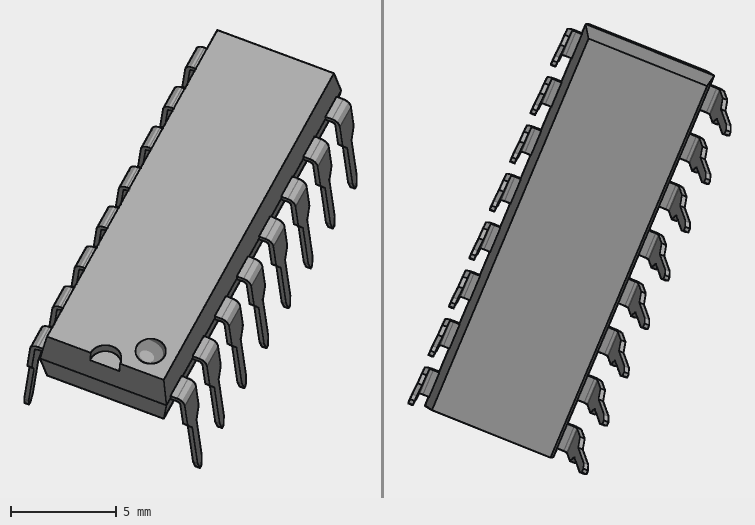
import cadquery as cq
import math

body_length = 20.05
body_width = 6.6
body_top = 1.6
wall_inset = 0.26

notch_radius = 0.76
notch_depth = 0.5
notch_y = -body_length / 2 + wall_inset
dimple_radius = 0.72
dimple_depth = 0.5
dimple_x = 1.78
dimple_y = -8.5

overall_height = 7.35
overall_width = 9.14
leads_per_side = 8
lead_row_length = 17.78
lead_pitch = lead_row_length / (leads_per_side - 1)
lead_thickness = 0.25
lead_root_x = body_width / 2 - 2 * wall_inset
bend_x = 3.6
bend_outer_radius = 0.42
bend_inner_radius = bend_outer_radius - lead_thickness

shoulder_width = 1.28
neck_width = 0.5
tip_width = 0.2
shoulder_z = -1.76
neck_z = -2.4
tip_taper_z = -5.2
lead_top_z = lead_thickness / 2
lead_bottom_z = body_top - overall_height


def tapered_half(end_z):
    """Half of the body, from the parting plane to its top or bottom face."""
    return (
        cq.Workplane("XY")
        .rect(body_width, body_length)
        .workplane(offset=end_z)
        .rect(body_width - 2 * wall_inset, body_length - 2 * wall_inset)
        .loft(ruled=True)
    )


def end_notch():
    """Round cutter centred on the edge of the top face."""
    return (
        cq.Workplane("XY", origin=(0, notch_y, body_top - notch_depth))
        .circle(notch_radius)
        .extrude(notch_depth)
    )


def dimple():
    """Ball whose lower cap is the spherical dimple."""
    ball_radius = (dimple_radius**2 + dimple_depth**2) / (2 * dimple_depth)
    ball_z = body_top - dimple_depth + ball_radius
    return cq.Workplane("XY").sphere(ball_radius).translate((dimple_x, dimple_y, ball_z))


def bent_strip():
    """Side profile of a +X lead, extruded to the full shoulder width."""
    bend_z = lead_top_z - bend_outer_radius

    reach = overall_width / 2 - bend_x
    drop = bend_z - lead_bottom_z
    splay = math.atan2(reach, drop) - math.asin(bend_outer_radius / math.hypot(reach, drop))

    def on_bend(radius, angle):
        return bend_x + radius * math.cos(angle), bend_z + radius * math.sin(angle)

    middle_angle = (splay + math.pi / 2) / 2
    tip_outer_x = overall_width / 2
    tip_inner_x = tip_outer_x - lead_thickness / math.cos(splay)
    return (
        cq.Workplane("XZ")
        .moveTo(lead_root_x, lead_top_z)
        .lineTo(bend_x, lead_top_z)
        .threePointArc(on_bend(bend_outer_radius, middle_angle), on_bend(bend_outer_radius, splay))
        .lineTo(tip_outer_x, lead_bottom_z)
        .lineTo(tip_inner_x, lead_bottom_z)
        .lineTo(*on_bend(bend_inner_radius, splay))
        .threePointArc(on_bend(bend_inner_radius, middle_angle), (bend_x, -lead_top_z))
        .lineTo(lead_root_x, -lead_top_z)
        .close()
        .extrude(shoulder_width / 2, both=True)
    )


def lead_outline():
    """Stepped outline of a lead: wide shoulder, narrow neck and pointed tip."""
    half_outline = [
        (shoulder_width / 2, lead_top_z),
        (shoulder_width / 2, shoulder_z),
        (neck_width / 2, neck_z),
        (neck_width / 2, tip_taper_z),
        (tip_width / 2, lead_bottom_z),
    ]
    other_half = [(-y, z) for y, z in reversed(half_outline)]
    return cq.Workplane("YZ").polyline(half_outline + other_half).close().extrude(overall_width / 2)


body = tapered_half(body_top).union(tapered_half(-body_top))
body = body.cut(end_notch()).cut(dimple())

right_lead = bent_strip().intersect(lead_outline())
left_lead = right_lead.mirror("YZ")

result = body
for index in range(leads_per_side):
    lead_y = -lead_row_length / 2 + index * lead_pitch
    for lead in (left_lead, right_lead):
        result = result.union(lead.translate((0, lead_y, 0)))